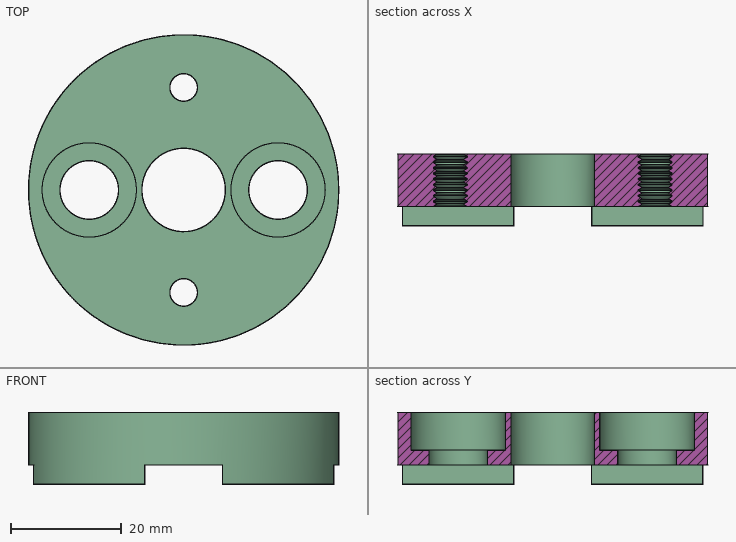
import cadquery as cq

disc_diameter = 56.0
disc_height = 13.0

slot_width = 14.0
slot_depth = 3.5

center_hole_diameter = 15.0
bolt_offset = 17.0
bolt_hole_diameter = 10.5
counterbore_diameter = 17.0
counterbore_depth = 6.8

thread_offset = 18.5
thread_minor_diameter = 4.9
thread_major_diameter = 6.05
thread_pitch = 1.0
thread_crest_width = thread_pitch / 4
thread_root_width = thread_pitch / 8


def make_disc():
    return cq.Workplane("XY").circle(disc_diameter / 2).extrude(disc_height)


def make_slot_cross():
    """Two slots along X and Y, cut right across the underside."""
    along_x = cq.Workplane("XY").rect(disc_diameter, slot_width).extrude(slot_depth)
    along_y = cq.Workplane("XY").rect(slot_width, disc_diameter).extrude(slot_depth)
    return along_x.union(along_y)


def make_thread_cutter():
    """Hole with tapered ring grooves, revolved about Z, from the top face down."""
    minor_radius = thread_minor_diameter / 2
    major_radius = thread_major_diameter / 2
    flank_height = (thread_pitch - thread_crest_width - thread_root_width) / 2
    groove_count = int(disc_height // thread_pitch)

    profile = cq.Workplane("XZ").moveTo(0, disc_height).lineTo(minor_radius, disc_height)
    for index in range(groove_count):
        groove_top = disc_height - thread_crest_width / 2 - index * thread_pitch
        root_top = groove_top - flank_height
        root_bottom = root_top - thread_root_width
        profile = (
            profile.lineTo(minor_radius, groove_top)
            .lineTo(major_radius, root_top)
            .lineTo(major_radius, root_bottom)
            .lineTo(minor_radius, root_bottom - flank_height)
        )
    profile = profile.lineTo(minor_radius, 0).lineTo(0, 0).close()
    return profile.revolve(360, (0, 0, 0), (0, 1, 0))


result = make_disc().cut(make_slot_cross())

top_plane = cq.Workplane("XY", origin=(0, 0, disc_height))
center_hole_cutter = top_plane.circle(center_hole_diameter / 2).extrude(-disc_height)
result = result.cut(center_hole_cutter)

bolt_points = [(-bolt_offset, 0), (bolt_offset, 0)]
bolt_hole_cutter = top_plane.pushPoints(bolt_points).circle(bolt_hole_diameter / 2).extrude(-disc_height)
counterbore_cutter = (
    top_plane.pushPoints(bolt_points)
    .circle(counterbore_diameter / 2)
    .extrude(-counterbore_depth)
)
result = result.cut(bolt_hole_cutter).cut(counterbore_cutter)

thread_cutter = make_thread_cutter()
for y_position in (-thread_offset, thread_offset):
    result = result.cut(thread_cutter.translate((0, y_position, 0)))